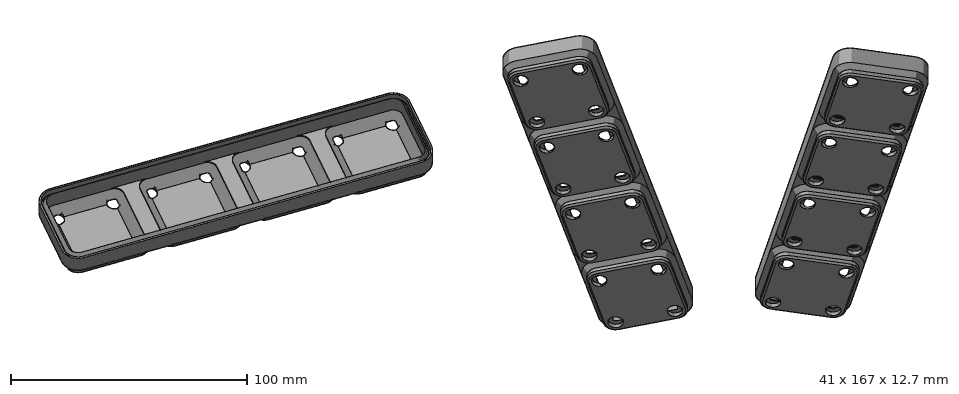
import cadquery as cq
import math

LENGTH = 167.0
WIDTH = 41.0
HEIGHT = 12.7
CORNER_RADIUS = 7.5
UNIT_COUNT = 4
PITCH = (LENGTH - WIDTH) / (UNIT_COUNT - 1)

FOOT_CHAMFER = 0.8
FOOT_STRAIGHT = 1.8
FOOT_FLARE = 2.2
FOOT_HEIGHT = FOOT_CHAMFER + FOOT_STRAIGHT + FOOT_FLARE

WALL = 3.2
FLOOR = 1.0
POCKET_SLOPE = 4.2
POCKET_STEP = 0.5
RIB_TOP = FLOOR + POCKET_SLOPE + POCKET_STEP

RIM_SKIN = 0.8
GROOVE_FLOOR = 0.8
RIDGE_STEP = 0.8
RIDGE_SLOPE = 1.8
GROOVE_DEPTH = RIDGE_STEP + RIDGE_SLOPE

HOLE_DIAMETER = 6.5
HOLE_DEPTH = 2.0
HOLE_SPACING = WIDTH - 2 * CORNER_RADIUS

unit_centres = [(0, (i - (UNIT_COUNT - 1) / 2) * PITCH) for i in range(UNIT_COUNT)]


def rounded_block(length, inset, bottom, height, spread=0.0):
    """Round-cornered block, inset from the outer outline, whose sides move out by spread as it rises."""
    block = (
        cq.Sketch()
        .rect(WIDTH - 2 * inset, length - 2 * inset)
        .vertices()
        .fillet(CORNER_RADIUS - inset)
    )
    taper = -math.degrees(math.atan2(spread, height))
    return cq.Workplane("XY").workplane(offset=bottom).placeSketch(block).extrude(height, taper=taper)


def foot():
    straight_inset = FOOT_FLARE
    sole_inset = straight_inset + FOOT_CHAMFER
    sole = rounded_block(WIDTH, sole_inset, 0, FOOT_CHAMFER, FOOT_CHAMFER)
    straight = rounded_block(WIDTH, straight_inset, FOOT_CHAMFER, FOOT_STRAIGHT)
    flare = rounded_block(WIDTH, straight_inset, FOOT_CHAMFER + FOOT_STRAIGHT, FOOT_FLARE, FOOT_FLARE)
    return sole.union(straight).union(flare)


def pocket():
    slope = rounded_block(WIDTH, WALL + POCKET_SLOPE, FLOOR, POCKET_SLOPE, POCKET_SLOPE)
    step = rounded_block(WIDTH, WALL, FLOOR + POCKET_SLOPE, POCKET_STEP)
    return slope.union(step)


def rim_groove():
    bottom = HEIGHT - GROOVE_DEPTH
    slope_foot = RIM_SKIN + GROOVE_FLOOR
    slope_run = WALL - slope_foot
    outside = rounded_block(LENGTH, RIM_SKIN, bottom, GROOVE_DEPTH)
    ridge_base = rounded_block(LENGTH, slope_foot, bottom, RIDGE_STEP)
    ridge_slope = rounded_block(LENGTH, slope_foot, bottom + RIDGE_STEP, RIDGE_SLOPE, -slope_run)
    return outside.cut(ridge_base).cut(ridge_slope)


def magnet_holes():
    return (
        cq.Workplane("XY")
        .rect(HOLE_SPACING, HOLE_SPACING, forConstruction=True)
        .vertices()
        .circle(HOLE_DIAMETER / 2)
        .extrude(HOLE_DEPTH)
    )


body = rounded_block(LENGTH, 0, FOOT_HEIGHT, HEIGHT - FOOT_HEIGHT)
for centre in unit_centres:
    body = body.union(foot().translate((*centre, 0)))

body = body.cut(rounded_block(LENGTH, WALL, RIB_TOP, HEIGHT - RIB_TOP))
for centre in unit_centres:
    body = body.cut(pocket().translate((*centre, 0)))
    body = body.cut(magnet_holes().translate((*centre, 0)))

result = body.cut(rim_groove())